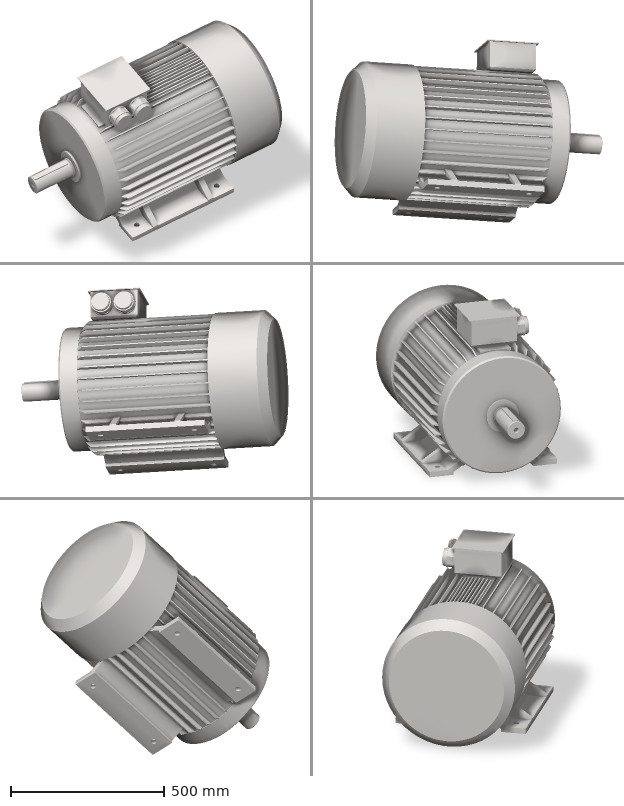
import cadquery as cq
import math

TOTAL_LENGTH = 845.0
AXIS_HEIGHT = 225.0

SHAFT_DIAMETER = 60.0
SHAFT_TIP_DIAMETER = 57.5
SHAFT_LENGTH = 140.0
COLLAR_DIAMETER = 65.0
COLLAR_LENGTH = 5.0
HUB_DIAMETER = 110.0
HUB_LENGTH = 8.0
CENTRE_HOLE_DIAMETER = 17.0
CENTRE_MOUTH_DIAMETER = 19.0
CENTRE_HOLE_DEPTH = 42.0
DRILL_POINT_ANGLE = 118
KEY_WIDTH = 18.0
KEY_TOP = 33.0
KEY_GAP = 2.5
KEY_LENGTH = 133.5

SHIELD_DIAMETER = 405.0
SHIELD_LENGTH = 62.5
SHIELD_EDGE = 5.0
BODY_DIAMETER = 400.0
COVER_DIAMETER = 445.0
COVER_LENGTH = 193.0
COVER_BEVEL = 29.5

FIN_OUTER_RADIUS = 220.0
FIN_WIDTH = 4.0
FIN_OVERLAP = 8.5
FIN_STEP = 10
TOP_GAP_ANGLE = 15
FIN_BEVEL = 17.0

PLATFORM_WIDTH = 106.0
PLATFORM_TOP = 203.0
PLATFORM_START = 223.0
TOP_FIN_WIDTH = 3.0
TOP_FIN_COUNT = 9
TOP_FIN_ROW = 96.0
TOP_FIN_RADIUS = 219.0
TOP_FIN_START = 399.0

BOX_CENTRE_Y = 316.0
BOX_SIZE = 156.0
BOX_BOTTOM = 212.0
BOX_BEVEL = 8.0
LID_SIZE = 172.0
LID_THICKNESS = 3.0
LID_TOP = 309.0
PEDESTAL_LENGTH = 106.5

GLAND_SPACING = 76.0
GLAND_HEIGHT = 257.0
GLAND_CORNER_DIAMETER = 67.0
GLAND_ACROSS_FLATS = 61.0
GLAND_NECK_DIAMETER = 67.0
GLAND_NECK_LENGTH = 6.0
GLAND_NUT_LENGTH = 24.0
GLAND_RIM_LENGTH = 3.0
GLAND_CAP_DIAMETER = 60.0
GLAND_CAP_LENGTH = 12.0
GLAND_CAP_END_DIAMETER = 57.5
GLAND_CAP_BEVEL_LENGTH = 6.0

FOOT_START = 248.0
FOOT_LENGTH = 395.0
FOOT_OUTER_X = 218.0
FOOT_INNER_X = 136.0
FOOT_THICKNESS = 19.0
FOOT_BEND_X = 156.0
FOOT_STEP = 10.0
WEB_SLOPE = 0.65
WEB_INNER_X = 93.0
GUSSET_WIDTH = 20.0
GUSSET_CENTRES = (337.0, 552.0)
GUSSET_LIP = 3.0
FOOT_HOLE_DIAMETER = 19.0
FOOT_HOLE_X = 178.0
FOOT_HOLE_SPACING = 311.0

SHIELD_FRONT = SHAFT_LENGTH + COLLAR_LENGTH + HUB_LENGTH
BODY_START = SHIELD_FRONT + SHIELD_LENGTH
COVER_START = TOTAL_LENGTH - COVER_LENGTH
FLOOR = -AXIS_HEIGHT


def round_bar(diameter, start, end):
    """Cylinder on the shaft axis between two Y positions."""
    return cq.Workplane("XZ", origin=(0, start, 0)).circle(diameter / 2).extrude(start - end)


def block(width, start, end, bottom, top):
    """Box centred on X = 0."""
    return (
        cq.Workplane("XY")
        .box(width, end - start, top - bottom, centered=(True, False, False))
        .translate((0, start, bottom))
    )


def make_shaft():
    shaft = round_bar(SHAFT_DIAMETER, 0, SHIELD_FRONT)
    shaft = shaft.faces("<Y").chamfer((SHAFT_DIAMETER - SHAFT_TIP_DIAMETER) / 2)
    collar = round_bar(COLLAR_DIAMETER, SHAFT_LENGTH, SHIELD_FRONT)
    hub = round_bar(HUB_DIAMETER, SHIELD_FRONT - HUB_LENGTH, SHIELD_FRONT)
    key = (
        cq.Workplane("XY", origin=(0, KEY_GAP + KEY_LENGTH / 2, 0))
        .slot2D(KEY_LENGTH, KEY_WIDTH, angle=90)
        .extrude(KEY_TOP)
    )
    return shaft.union(collar).union(hub).union(key).cut(make_centre_hole())


def make_centre_hole():
    """Drilled hole in the shaft tip with a bevelled mouth and a pointed bottom."""
    hole_radius = CENTRE_HOLE_DIAMETER / 2
    mouth_radius = CENTRE_MOUTH_DIAMETER / 2
    point_depth = hole_radius / math.tan(math.radians(DRILL_POINT_ANGLE / 2))
    return (
        cq.Workplane("XY")
        .moveTo(0, 0)
        .lineTo(mouth_radius, 0)
        .lineTo(hole_radius, mouth_radius - hole_radius)
        .lineTo(hole_radius, CENTRE_HOLE_DEPTH)
        .lineTo(0, CENTRE_HOLE_DEPTH + point_depth)
        .close()
        .revolve(360, (0, 0, 0), (0, 1, 0))
    )


def make_housing():
    shield = round_bar(SHIELD_DIAMETER, SHIELD_FRONT, BODY_START).faces("<Y").chamfer(SHIELD_EDGE)
    body = round_bar(BODY_DIAMETER, BODY_START, COVER_START)
    cover = round_bar(COVER_DIAMETER, COVER_START, TOTAL_LENGTH).faces(">Y").chamfer(COVER_BEVEL)
    return shield.union(body).union(cover)


def make_radial_fins():
    """Fins all around except at the top, bevelled where they meet the end shield."""
    root = BODY_DIAMETER / 2 - FIN_OVERLAP
    fin = (
        cq.Workplane("YZ", origin=(-FIN_WIDTH / 2, 0, 0))
        .moveTo(BODY_START, root)
        .lineTo(BODY_START, FIN_OUTER_RADIUS - FIN_BEVEL)
        .lineTo(BODY_START + FIN_BEVEL, FIN_OUTER_RADIUS)
        .lineTo(COVER_START, FIN_OUTER_RADIUS)
        .lineTo(COVER_START, root)
        .close()
        .extrude(FIN_WIDTH)
    )
    fins = cq.Workplane("XY")
    for angle in range(0, 360, FIN_STEP):
        if TOP_GAP_ANGLE < angle < 360 - TOP_GAP_ANGLE:
            fins = fins.add(fin.rotate((0, 0, 0), (0, 1, 0), angle))
    return fins.combine()


def make_platform():
    platform = block(PLATFORM_WIDTH, PLATFORM_START, COVER_START, 0, PLATFORM_TOP)
    bevel = TOP_FIN_RADIUS - PLATFORM_TOP
    fin = (
        cq.Workplane("YZ", origin=(-TOP_FIN_WIDTH / 2, 0, 0))
        .moveTo(TOP_FIN_START, 0)
        .lineTo(TOP_FIN_START, PLATFORM_TOP)
        .lineTo(TOP_FIN_START + bevel, TOP_FIN_RADIUS)
        .lineTo(COVER_START, TOP_FIN_RADIUS)
        .lineTo(COVER_START, 0)
        .close()
        .extrude(TOP_FIN_WIDTH)
    )
    pitch = TOP_FIN_ROW / (TOP_FIN_COUNT - 1)
    for i in range(TOP_FIN_COUNT):
        platform = platform.union(fin.translate((i * pitch - TOP_FIN_ROW / 2, 0, 0)))
    return platform.intersect(round_bar(2 * TOP_FIN_RADIUS, PLATFORM_START, COVER_START))


def make_gland():
    """Cable gland along +X, starting at the origin."""
    neck = cq.Workplane("YZ").circle(GLAND_NECK_DIAMETER / 2).extrude(GLAND_NECK_LENGTH)
    nut_plane = cq.Workplane("YZ", origin=(GLAND_NECK_LENGTH, 0, 0))
    nut_envelope = nut_plane.circle(GLAND_CORNER_DIAMETER / 2).extrude(GLAND_NUT_LENGTH)
    nut = (
        nut_plane.polygon(6, GLAND_ACROSS_FLATS / math.cos(math.pi / 6))
        .extrude(GLAND_NUT_LENGTH)
        .rotate((0, 0, 0), (1, 0, 0), 90)
        .intersect(nut_envelope)
    )
    nut_end = GLAND_NECK_LENGTH + GLAND_NUT_LENGTH
    rim_end = nut_end + GLAND_RIM_LENGTH
    rim_plane = cq.Workplane("YZ", origin=(nut_end, 0, 0))
    rim = rim_plane.circle(GLAND_CORNER_DIAMETER / 2).extrude(GLAND_RIM_LENGTH)
    cap = (
        cq.Workplane("XY")
        .moveTo(rim_end, 0)
        .lineTo(rim_end, GLAND_CAP_DIAMETER / 2)
        .lineTo(rim_end + GLAND_CAP_LENGTH - GLAND_CAP_BEVEL_LENGTH, GLAND_CAP_DIAMETER / 2)
        .lineTo(rim_end + GLAND_CAP_LENGTH, GLAND_CAP_END_DIAMETER / 2)
        .lineTo(rim_end + GLAND_CAP_LENGTH, 0)
        .close()
        .revolve(360, (0, 0, 0), (1, 0, 0))
    )
    return neck.union(nut).union(rim).union(cap)


def make_terminal_box():
    start = BOX_CENTRE_Y - BOX_SIZE / 2
    box = block(BOX_SIZE, start, start + BOX_SIZE, BOX_BOTTOM, LID_TOP).faces("<Z").chamfer(BOX_BEVEL)
    lid_start = BOX_CENTRE_Y - LID_SIZE / 2
    lid = block(LID_SIZE, lid_start, lid_start + LID_SIZE, LID_TOP - LID_THICKNESS, LID_TOP)
    pedestal_start = BOX_CENTRE_Y - PEDESTAL_LENGTH / 2
    pedestal = block(PLATFORM_WIDTH, pedestal_start, pedestal_start + PEDESTAL_LENGTH, 0, BOX_BOTTOM)
    box = box.union(lid).union(pedestal)
    for side in (-1, 1):
        gland_y = BOX_CENTRE_Y + side * GLAND_SPACING / 2
        box = box.union(make_gland().translate((BOX_SIZE / 2, gland_y, GLAND_HEIGHT)))
    return box


def make_foot():
    """Foot on the +X side: floor plate, sloping web and two gussets."""
    plate_top = FLOOR + FOOT_THICKNESS
    inner_edge_top = FLOOR + FOOT_STEP
    foot = (
        cq.Workplane("XZ", origin=(0, FOOT_START, 0))
        .moveTo(FOOT_INNER_X, FLOOR)
        .lineTo(FOOT_OUTER_X, FLOOR)
        .lineTo(FOOT_OUTER_X, plate_top)
        .lineTo(FOOT_BEND_X, plate_top)
        .lineTo(WEB_INNER_X, plate_top + WEB_SLOPE * (FOOT_BEND_X - WEB_INNER_X))
        .lineTo(WEB_INNER_X, inner_edge_top + WEB_SLOPE * (FOOT_INNER_X - WEB_INNER_X))
        .lineTo(FOOT_INNER_X, inner_edge_top)
        .close()
        .extrude(-FOOT_LENGTH)
    )
    gusset_low = plate_top + GUSSET_LIP
    for centre in GUSSET_CENTRES:
        gusset = (
            cq.Workplane("XZ", origin=(0, centre - GUSSET_WIDTH / 2, 0))
            .moveTo(FOOT_OUTER_X, plate_top)
            .lineTo(FOOT_OUTER_X, gusset_low)
            .lineTo(WEB_INNER_X, gusset_low + WEB_SLOPE * (FOOT_OUTER_X - WEB_INNER_X))
            .lineTo(WEB_INNER_X, plate_top + WEB_SLOPE * (FOOT_BEND_X - WEB_INNER_X))
            .lineTo(FOOT_BEND_X, plate_top)
            .close()
            .extrude(-GUSSET_WIDTH)
        )
        foot = foot.union(gusset)
    middle = FOOT_START + FOOT_LENGTH / 2
    for side in (-1, 1):
        hole = (
            cq.Workplane("XY", origin=(FOOT_HOLE_X, middle + side * FOOT_HOLE_SPACING / 2, FLOOR))
            .circle(FOOT_HOLE_DIAMETER / 2)
            .extrude(FOOT_THICKNESS)
        )
        foot = foot.cut(hole)
    return foot


foot = make_foot()
result = (
    make_housing()
    .union(make_radial_fins())
    .union(make_platform())
    .union(make_terminal_box())
    .union(foot)
    .union(foot.mirror("YZ"))
    .union(make_shaft())
)